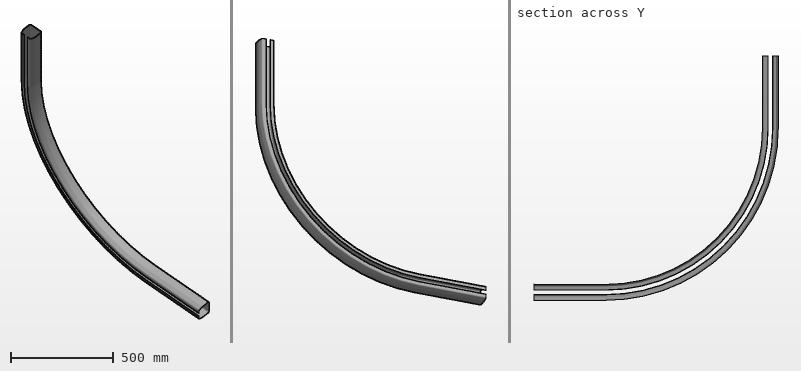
import cadquery as cq

span = 1190.0
leg_length = 350.0
section_width = 80.0
section_depth = 75.0

wall = 3.0
back_radius = 10.0
front_radius = 7.0
shoulder_radius = 17.0
side_depth = 50.0
front_inset = 8.0
slot_width = 21.0

bend_radius = span - leg_length


def channel_section():
    """Slotted hollow section: X runs from the outer to the inner side, Y from front to back."""
    shoulder_y = section_depth - side_depth
    outline = [
        (0, section_depth),
        (section_width, section_depth),
        (section_width, shoulder_y),
        (section_width - front_inset, 0),
        (front_inset, 0),
        (0, shoulder_y),
        (0, section_depth),
    ]
    shoulders = cq.selectors.BoxSelector(
        (-wall, shoulder_y - wall, -wall),
        (section_width + wall, shoulder_y + wall, wall),
    )
    slot_center = cq.Location(cq.Vector(section_width / 2, 0))
    return (
        cq.Sketch()
        .polygon(outline)
        .vertices(">Y")
        .fillet(back_radius)
        .reset()
        .vertices("<Y")
        .fillet(front_radius)
        .reset()
        .vertices(shoulders)
        .fillet(shoulder_radius)
        .reset()
        .wires()
        .offset(-wall, mode="s")
        .reset()
        .push([slot_center])
        .rect(slot_width, 4 * wall, mode="s")
        .reset()
    )


path = (
    cq.Workplane("XZ")
    .moveTo(0, span)
    .lineTo(0, bend_radius)
    .radiusArc((bend_radius, 0), -bend_radius)
    .lineTo(span, 0)
)

result = (
    cq.Workplane("XY")
    .workplane(offset=span)
    .placeSketch(channel_section())
    .sweep(path)
)